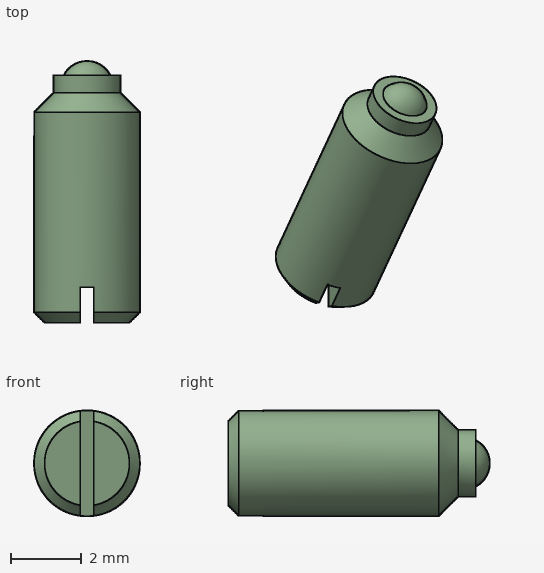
import cadquery as cq
import math

body_diameter = 3.0
nose_diameter = 1.9
ball_diameter = 1.48
total_length = 7.4
ball_protrusion = 0.4
nose_length = 0.5
end_chamfer = 0.3
slot_width = 0.38
slot_depth = 1.0

body_radius = body_diameter / 2
nose_radius = nose_diameter / 2
ball_radius = ball_diameter / 2

nose_end = total_length - ball_protrusion
cone_end = nose_end - nose_length
cone_start = cone_end - (body_radius - nose_radius)
ball_center = total_length - ball_radius

rim_angle = math.acos((nose_end - ball_center) / ball_radius)
rim_radius = ball_radius * math.sin(rim_angle)
mid_radius = ball_radius * math.sin(rim_angle / 2)
mid_station = ball_center + ball_radius * math.cos(rim_angle / 2)


def plunger_body():
    """Half profile (radius, station) revolved about the Y axis."""
    return (
        cq.Workplane("XY")
        .moveTo(0, 0)
        .lineTo(body_radius - end_chamfer, 0)
        .lineTo(body_radius, end_chamfer)
        .lineTo(body_radius, cone_start)
        .lineTo(nose_radius, cone_end)
        .lineTo(nose_radius, nose_end)
        .lineTo(rim_radius, nose_end)
        .threePointArc((mid_radius, mid_station), (0, total_length))
        .close()
        .revolve(360, (0, 0), (0, 1))
    )


def screwdriver_slot():
    """Straight slot across the whole end face, running along Z."""
    return cq.Workplane("XY").box(
        slot_width, slot_depth, body_diameter, centered=(True, False, True)
    )


result = plunger_body().cut(screwdriver_slot())